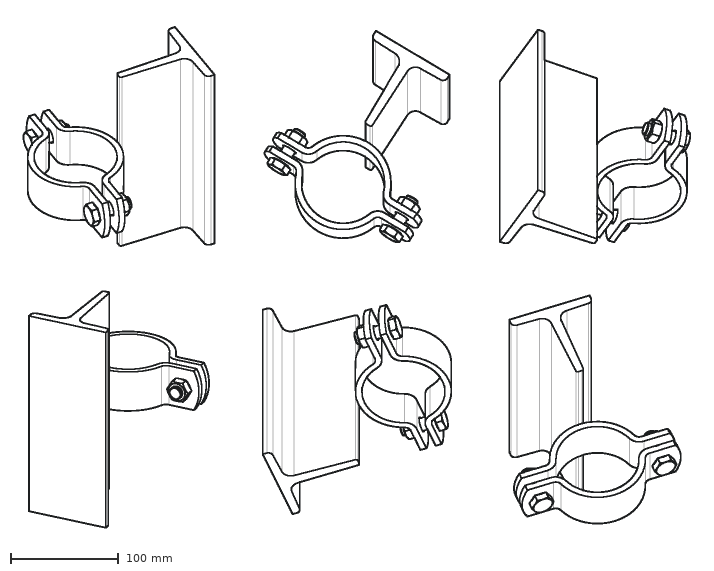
import cadquery as cq
import math


bar_length = 200.0
bar_width = 80.0
bar_depth = 80.0
bar_thickness = 9.0
flange_slope = 0.03
web_slope = 0.02
root_radius = bar_thickness
flange_edge_radius = bar_thickness / 2
web_edge_radius = 2.0
weld_overlap = 0.05

strap_width = 40.0
strap_thickness = 6.0
clamp_outer_diameter = 89.0
clamp_outer_radius = clamp_outer_diameter / 2
clamp_inner_radius = clamp_outer_radius - strap_thickness
clamp_gap = 9.0
clamp_span = 158.0
ear_end_radius = strap_width
bend_radius = 6.0
ear_inner_y = clamp_gap / 2
ear_outer_y = ear_inner_y + strap_thickness

bolt_spacing = 122.0
bolt_diameter = 12.0
bolt_hole_diameter = 14.0
bolt_end_diameter = 11.0
bolt_end_chamfer = 0.8
bolt_reach = 13.5
hex_across_flats = 19.0
head_face_diameter = 18.8
nut_face_diameter = 17.2
hex_chamfer_angle = 30.0
head_height = 7.5
nut_height = 10.0
washer_face_diameter = 17.2
washer_face_height = 0.5


def polar(radius, angle):
    return (radius * math.cos(angle), radius * math.sin(angle))


def mirror_x(point):
    return (-point[0], point[1])


def round_corner_pair(solid, corner, radius):
    """Round the lengthwise edges through an outline corner and its mirror image."""
    for x, y in (corner, mirror_x(corner)):
        solid = solid.edges(cq.selectors.NearestToPointSelector((x, y, 0))).fillet(radius)
    return solid


def make_t_bar():
    tip_y = clamp_outer_radius - weld_overlap
    back_y = tip_y + bar_depth
    half_width = bar_width / 2

    flange_edge_y = back_y - bar_thickness + flange_slope * half_width / 2
    web_half_at_tip = bar_thickness / 2 - web_slope * bar_depth / 2

    root_x = web_half_at_tip + web_slope * (flange_edge_y - flange_slope * half_width - tip_y)
    root_x = root_x / (1 - web_slope * flange_slope)
    root_y = flange_edge_y - flange_slope * (half_width - root_x)

    right_side = [
        (half_width, back_y),
        (half_width, flange_edge_y),
        (root_x, root_y),
        (web_half_at_tip, tip_y),
    ]
    left_side = [mirror_x(point) for point in reversed(right_side)]
    bar = (
        cq.Workplane("XY")
        .polyline(right_side + left_side)
        .close()
        .extrude(bar_length / 2, both=True)
    )

    corner_radii = [flange_edge_radius, root_radius, web_edge_radius]
    for corner, radius in zip(right_side[1:], corner_radii):
        bar = round_corner_pair(bar, corner, radius)
    return bar


def make_back_strap():
    """Clamp half on the +Y side: half ring, two bends and two drilled ears."""
    bend_y = ear_outer_y + bend_radius
    bend_distance = clamp_outer_radius + bend_radius
    bend_angle = math.asin(bend_y / bend_distance)
    bend_x = bend_distance * math.cos(bend_angle)
    bend_middle = -(math.pi / 2 + math.pi - bend_angle) / 2
    half_span = clamp_span / 2

    def bend_point(radius):
        """Point halfway round the bend, on the arc of the given radius."""
        across = polar(radius, bend_middle)
        return (bend_x + across[0], bend_y + across[1])

    inner_ring_end = polar(clamp_inner_radius, bend_angle)
    outer_ring_end = polar(clamp_outer_radius, bend_angle)
    inner_bend_middle = bend_point(bend_radius + strap_thickness)
    outer_bend_middle = bend_point(bend_radius)

    strap = (
        cq.Workplane("XY")
        .moveTo(half_span, ear_inner_y)
        .lineTo(bend_x, ear_inner_y)
        .threePointArc(inner_bend_middle, inner_ring_end)
        .threePointArc((0, clamp_inner_radius), mirror_x(inner_ring_end))
        .threePointArc(mirror_x(inner_bend_middle), (-bend_x, ear_inner_y))
        .lineTo(-half_span, ear_inner_y)
        .lineTo(-half_span, ear_outer_y)
        .lineTo(-bend_x, ear_outer_y)
        .threePointArc(mirror_x(outer_bend_middle), mirror_x(outer_ring_end))
        .threePointArc((0, clamp_outer_radius), outer_ring_end)
        .threePointArc(outer_bend_middle, (bend_x, ear_outer_y))
        .lineTo(half_span, ear_outer_y)
        .close()
        .extrude(strap_width / 2, both=True)
    )

    half_strap = strap_width / 2
    ear_corner_x = half_span - ear_end_radius + math.sqrt(ear_end_radius ** 2 - half_strap ** 2)
    ear_outline = (
        cq.Workplane("XZ")
        .moveTo(-ear_corner_x, -half_strap)
        .lineTo(ear_corner_x, -half_strap)
        .threePointArc((half_span, 0), (ear_corner_x, half_strap))
        .lineTo(-ear_corner_x, half_strap)
        .threePointArc((-half_span, 0), (-ear_corner_x, -half_strap))
        .close()
        .pushPoints([(-bolt_spacing / 2, 0), (bolt_spacing / 2, 0)])
        .circle(bolt_hole_diameter / 2)
        .extrude(clamp_outer_radius, both=True)
    )
    return strap.intersect(ear_outline)


def make_hexagon(height, face_diameter, chamfer_both_ends):
    """Hexagon along +Z from the XY plane, conically chamfered at the top or at both ends."""
    across_corners = hex_across_flats / math.cos(math.pi / 6)
    corner_radius = across_corners / 2
    face_radius = face_diameter / 2
    chamfer_height = (corner_radius - face_radius) * math.tan(math.radians(hex_chamfer_angle))

    if chamfer_both_ends:
        lower_profile = [(face_radius, 0), (corner_radius, chamfer_height)]
    else:
        lower_profile = [(corner_radius, 0)]
    upper_profile = [(corner_radius, height - chamfer_height), (face_radius, height)]
    envelope = (
        cq.Workplane("XZ")
        .polyline([(0, 0)] + lower_profile + upper_profile + [(0, height)])
        .close()
        .revolve(360, (0, 0), (0, 1))
    )
    return cq.Workplane("XY").polygon(6, across_corners).extrude(height).intersect(envelope)


def make_bolt_with_nut():
    """Bolt and nut along Y, centred on the clamp gap, with the nut on the +Y side."""
    shank_radius = bolt_diameter / 2
    bolt_end = ear_outer_y + bolt_reach
    shank = (
        cq.Workplane("XZ")
        .polyline([
            (0, -ear_outer_y - washer_face_height),
            (shank_radius, -ear_outer_y - washer_face_height),
            (shank_radius, bolt_end - bolt_end_chamfer),
            (bolt_end_diameter / 2, bolt_end),
            (0, bolt_end),
        ])
        .close()
        .revolve(360, (0, 0), (0, 1))
    )
    washer_face = (
        cq.Workplane("XY", origin=(0, 0, -ear_outer_y - washer_face_height))
        .circle(washer_face_diameter / 2)
        .extrude(washer_face_height)
    )
    head = (
        make_hexagon(head_height - washer_face_height, head_face_diameter, chamfer_both_ends=False)
        .rotate((0, 0, 0), (1, 0, 0), 180)
        .translate((0, 0, -ear_outer_y - washer_face_height))
    )
    nut = make_hexagon(nut_height, nut_face_diameter, chamfer_both_ends=True)
    nut = nut.translate((0, 0, ear_outer_y))
    bolt = shank.union(washer_face).union(head).union(nut)
    return bolt.rotate((0, 0, 0), (1, 0, 0), -90)


back_strap = make_back_strap()
front_strap = back_strap.mirror("XZ")
bolt_with_nut = make_bolt_with_nut()

result = make_t_bar().union(back_strap).union(front_strap)
for side in (-1, 1):
    result = result.union(bolt_with_nut.translate((side * bolt_spacing / 2, 0, 0)))